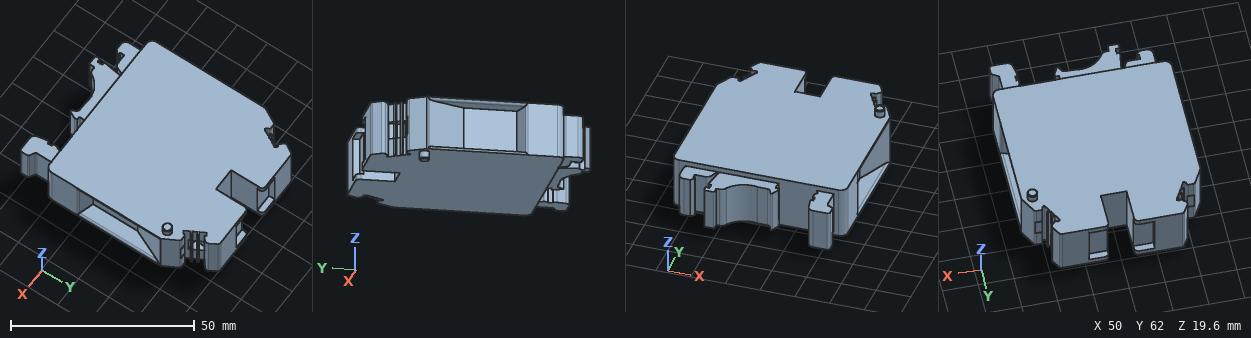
import cadquery as cq
import math

HALF_WIDTH = 25.0
HOUSING_TOP = 52.4
HOUSING_THICKNESS = 15.05
HALF_THICKNESS = HOUSING_THICKNESS / 2
BOTTOM_CORNER_RADIUS = 2.05
SHOULDER_Y = 38.25
SHELF_Y = 43.1

SLOT_HALF_WIDTH = 3.6
SLOT_FLOOR_Y = 41.7
SLOT_LIP_RADIUS = 1.2

RECESS_WALL = 1.6
RECESS_DEPTH = 2.0
RECESS_LENGTH = 5.6

FLANK_TOP = (-16.25, 47.5)
FLANK_BOTTOM = (-19.4, 41.8)
TOOTH_DISTANCES = [2.35, 4.15]
TOOTH_LENGTH = 0.9
TOOTH_WIDTH = 0.55
TOOTH_ROOT = 0.3
WINDOW_HEIGHT = 4.8
WINDOW_BOTTOM_Y = 43.0
WINDOW_TOP_Y = 47.2
WINDOW_BACK_X = -15.5

POCKET_WALL = 0.9
POCKET_DEPTH = 4.95
POCKET_TOP_Y = 37.8
POCKET_KNEE_Y = 27.1
POCKET_FLOOR_LOW_Y = 12.35
POCKET_BOTTOM_Y = 10.8
POCKET_LIP_RADIUS = 0.7

PIN_X = 21.95
PIN_Y = 38.4
PIN_RADIUS = 1.35
PIN_HEIGHT = 2.25
PIN_CHAMFER_HEIGHT = 0.4
PIN_CHAMFER_WIDTH = 0.2

FOOT_THICKNESS = 12.0
FOOT_OVERLAP = 0.6
FOOT_BOTTOM = -9.6
LEFT_FOOT_BOTTOM = -6.1
NOTCH_TOP_Y = -3.3
NOTCH_BOTTOM_Y = -4.65
ARCH_RADIUS = 7.45


def rounded_outline(points):
    """Closed outline through (x, y, radius) corners, each rounded by a tangent arc."""
    pieces = []
    for i, (x, y, radius) in enumerate(points):
        if radius == 0:
            pieces.append([(x, y)])
            continue
        before = points[i - 1]
        after = points[(i + 1) % len(points)]
        angle_in = math.atan2(before[1] - y, before[0] - x)
        angle_out = math.atan2(after[1] - y, after[0] - x)
        half = abs(math.remainder(angle_out - angle_in, 2 * math.pi)) / 2
        bisector = angle_in + math.remainder(angle_out - angle_in, 2 * math.pi) / 2
        setback = radius / math.tan(half)
        mid_distance = radius / math.sin(half) - radius
        pieces.append([
            (x + setback * math.cos(angle_in), y + setback * math.sin(angle_in)),
            (x + mid_distance * math.cos(bisector), y + mid_distance * math.sin(bisector)),
            (x + setback * math.cos(angle_out), y + setback * math.sin(angle_out)),
        ])
    outline = cq.Workplane("XY").moveTo(*pieces[0][-1])
    for piece in pieces[1:] + pieces[:1]:
        outline = outline.lineTo(*piece[0])
        if len(piece) > 1:
            outline = outline.threePointArc(piece[1], piece[2])
    return outline.close()


def slab(points, thickness):
    """Prism of a rounded outline, centred on the mid-plane Z = 0."""
    return rounded_outline(points).extrude(thickness / 2, both=True)


def box_between(x_range, y_range, height):
    length = x_range[1] - x_range[0]
    width = y_range[1] - y_range[0]
    center = (sum(x_range) / 2, sum(y_range) / 2, 0)
    return cq.Workplane("XY").box(length, width, height).translate(center)


def both_sides(left):
    """A left-hand shape together with its mirror image across X = 0."""
    return left.union(left.mirror("YZ"))


def housing():
    left_edge = [
        (-SLOT_HALF_WIDTH, SLOT_FLOOR_Y, 0),
        (-SLOT_HALF_WIDTH, HOUSING_TOP, SLOT_LIP_RADIUS),
        (-17.25, HOUSING_TOP, 0.85),
        (-19.15, 49.15, 0.9),
        (-17.55, 47.5, 0.3),
        (-17.05, 47.9, 0.2),
        (*FLANK_TOP, 0.3),
        (*FLANK_BOTTOM, 0.2),
        (-20.1, 42.3, 0.2),
        (-20.2, SHELF_Y, 0.25),
        (-22.3, SHELF_Y, 0.75),
        (-HALF_WIDTH, SHOULDER_Y, 0),
        (-HALF_WIDTH, 0, BOTTOM_CORNER_RADIUS),
    ]
    right_edge = [(-x, y, radius) for x, y, radius in reversed(left_edge)]
    return slab(left_edge + right_edge, HOUSING_THICKNESS)


def end_recesses():
    recess = box_between(
        (-SLOT_HALF_WIDTH - RECESS_LENGTH, -SLOT_HALF_WIDTH),
        (HOUSING_TOP - RECESS_DEPTH, HOUSING_TOP),
        HOUSING_THICKNESS - 2 * RECESS_WALL,
    )
    return both_sides(recess)


def flank_windows():
    window = box_between(
        (-HALF_WIDTH, WINDOW_BACK_X), (WINDOW_BOTTOM_Y, WINDOW_TOP_Y), WINDOW_HEIGHT
    )
    return both_sides(window)


def teeth():
    """Straight ridges standing square to the flank, sunk a little into it."""
    run_x = FLANK_BOTTOM[0] - FLANK_TOP[0]
    run_y = FLANK_BOTTOM[1] - FLANK_TOP[1]
    flank_length = math.hypot(run_x, run_y)
    flank_angle = math.degrees(math.atan2(run_y, run_x))
    left = cq.Workplane("XY")
    for distance in TOOTH_DISTANCES:
        fraction = distance / flank_length
        foot = (FLANK_TOP[0] + fraction * run_x, FLANK_TOP[1] + fraction * run_y, 0)
        ridge = box_between(
            (-TOOTH_WIDTH / 2, TOOTH_WIDTH / 2), (-TOOTH_LENGTH, TOOTH_ROOT), HOUSING_THICKNESS
        )
        left = left.union(ridge.rotate((0, 0, 0), (0, 0, 1), flank_angle).translate(foot))
    return both_sides(left)


def side_pockets():
    """Pockets with a sloping upper floor and a flat lower floor."""
    floor_x = POCKET_DEPTH - HALF_WIDTH
    outline = [
        (-HALF_WIDTH, POCKET_TOP_Y, 0),
        (floor_x, POCKET_KNEE_Y, 0),
        (floor_x, POCKET_FLOOR_LOW_Y, 0),
        (-HALF_WIDTH, POCKET_BOTTOM_Y, 0),
    ]
    return both_sides(slab(outline, HOUSING_THICKNESS - 2 * POCKET_WALL))


def pocket_mouth(side):
    """Selects the rim of the pocket on one side face: side is -1 for -X or 1 for +X."""
    margin = 0.05
    x = side * HALF_WIDTH
    reach_z = HALF_THICKNESS - POCKET_WALL + margin
    return cq.selectors.BoxSelector(
        (x - margin, POCKET_BOTTOM_Y - margin, -reach_z),
        (x + margin, POCKET_TOP_Y + margin, reach_z),
    )


def pin(x, y):
    """Pin standing on the +Z face, with a narrow chamfer round its tip."""
    return (
        cq.Workplane("XY", origin=(x, y, 0))
        .circle(PIN_RADIUS)
        .extrude(HALF_THICKNESS + PIN_HEIGHT)
        .faces(">Z")
        .chamfer(PIN_CHAMFER_HEIGHT, PIN_CHAMFER_WIDTH)
    )


def left_foot():
    return slab([
        (-20.95, FOOT_OVERLAP, 0),
        (-20.95, 0, 0),
        (-21.2, -1.0, 0),
        (-21.2, LEFT_FOOT_BOTTOM, 1.75),
        (-17.7, LEFT_FOOT_BOTTOM, 0),
        (-16.7, -5.15, 0),
        (-16.7, NOTCH_BOTTOM_Y, 0),
        (-17.25, NOTCH_BOTTOM_Y, 0),
        (-17.25, NOTCH_TOP_Y, 0),
        (-13.25, NOTCH_TOP_Y, 1.35),
        (-11.8, 0, 0),
        (-11.8, FOOT_OVERLAP, 0),
    ], FOOT_THICKNESS)


def middle_foot():
    """Clip foot, hollowed by a large arc that bears on the rail."""
    outline = [
        (-11.35, FOOT_OVERLAP, 0),
        (-11.35, 0, 0),
        (-12.35, -6.5, 0),
        (-11.4, -6.5, 0),
        (-11.4, -8.05, 0),
        (-12.6, -8.05, 0.3),
        (-12.6, FOOT_BOTTOM, 0.55),
        (-9.5, FOOT_BOTTOM, 0.3),
        (-9.5, -7.8, 0),
        (-7.6, -7.8, 1.85),
        (-7.05, -6.9, 0),
        (-4.35, -2.5, ARCH_RADIUS),
        (0.75, -3.4, 0),
        (4.4, -3.55, 1.1),
        (5.4, -5.8, 0.3),
        (6.7, -3.2, 0.25),
        (6.7, -2.25, 0),
        (5.6, -2.25, 0.25),
        (5.75, 0, 0),
        (5.75, FOOT_OVERLAP, 0),
    ]
    return slab(outline, FOOT_THICKNESS)


def right_foot():
    return slab([
        (16.8, FOOT_OVERLAP, 0),
        (16.8, 0, 0),
        (17.3, -1.0, 0.2),
        (16.7, -2.05, 0.2),
        (16.7, NOTCH_TOP_Y, 0),
        (17.3, NOTCH_TOP_Y, 0),
        (17.3, NOTCH_BOTTOM_Y, 0),
        (16.7, NOTCH_BOTTOM_Y, 0),
        (16.7, -5.7, 0),
        (17.5, FOOT_BOTTOM, 1.6),
        (23.6, FOOT_BOTTOM, 0.8),
        (23.6, -6.75, 0.5),
        (21.65, -5.6, 0.5),
        (21.65, FOOT_OVERLAP, 0),
    ], FOOT_THICKNESS)


upper_pin = pin(PIN_X, PIN_Y)
lower_pin = pin(-PIN_X, PIN_Y).mirror("XY")

result = (
    housing()
    .cut(end_recesses())
    .cut(flank_windows())
    .union(teeth())
    .union(upper_pin)
    .union(lower_pin)
    .cut(side_pockets())
    .edges(pocket_mouth(-1) + pocket_mouth(1))
    .fillet(POCKET_LIP_RADIUS)
    .union(left_foot())
    .union(middle_foot())
    .union(right_foot())
)